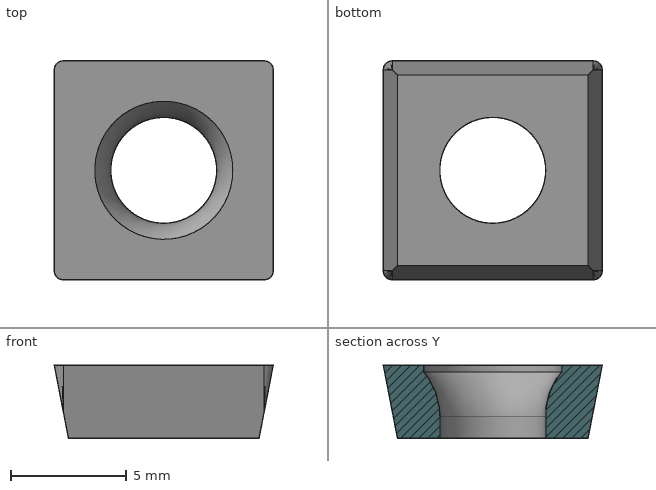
import cadquery as cq
import math

side = 9.53
thickness = 3.18
relief_angle = 11.0
corner_radius = 0.4

seat_diameter = 6.0
bore_diameter = 4.59
lip_depth = 0.29
seat_arc_radius = 3.0

half_side = side / 2
seat_radius = seat_diameter / 2
bore_radius = bore_diameter / 2
corner_depth = corner_radius / math.tan(math.radians(relief_angle))


def make_body():
    """Square frustum with its large face on top."""
    return (
        cq.Workplane("XY", origin=(0, 0, thickness))
        .rect(side, side)
        .extrude(-thickness, taper=relief_angle)
    )


def make_corner_cutter():
    """Material outside the corner cone at the +X +Y corner."""
    center = half_side - corner_radius
    block = cq.Workplane("XY").box(
        corner_radius, corner_radius, corner_depth, centered=False
    )
    cone = cq.Workplane(
        cq.Solid.makeCone(0, corner_radius, corner_depth)
    )
    return block.cut(cone).translate((center, center, thickness - corner_depth))


def make_hole():
    """Straight lip, then a convex seat tangent to the bore, then the bore."""
    step = seat_radius - bore_radius
    arc_angle = math.acos(1 - step / seat_arc_radius)
    seat_top = thickness - lip_depth
    seat_bottom = seat_top - seat_arc_radius * math.sin(arc_angle)
    mid_radius = bore_radius + seat_arc_radius * (1 - math.cos(arc_angle / 2))
    mid_height = seat_bottom + seat_arc_radius * math.sin(arc_angle / 2)
    return (
        cq.Workplane("XZ")
        .moveTo(0, 0)
        .lineTo(bore_radius, 0)
        .lineTo(bore_radius, seat_bottom)
        .threePointArc((mid_radius, mid_height), (seat_radius, seat_top))
        .lineTo(seat_radius, thickness)
        .lineTo(0, thickness)
        .close()
        .revolve(360, (0, 0, 0), (0, 1, 0))
    )


result = make_body()
corner_cutter = make_corner_cutter()
for turn in range(4):
    result = result.cut(corner_cutter.rotate((0, 0, 0), (0, 0, 1), 90 * turn))
result = result.cut(make_hole())